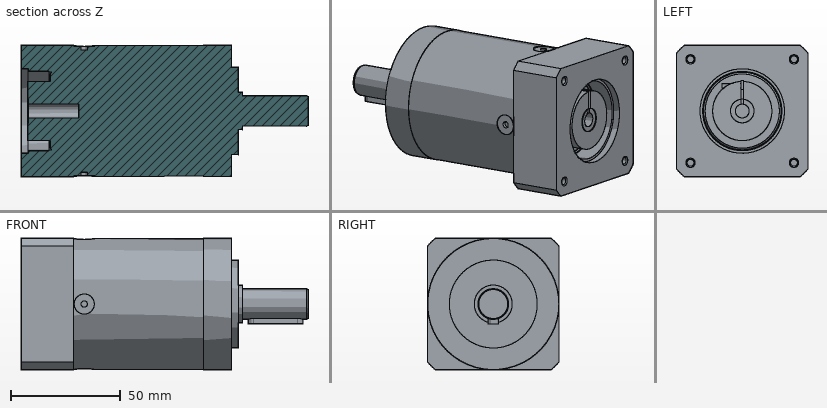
import cadquery as cq

TOTAL_LENGTH = 131.0
FLANGE_END = 24.0
BODY_END = 83.0
CAP_END = 96.0
PILOT_END = 99.0
COLLAR_END = 101.0

FLANGE_SIDE = 60.0
FLANGE_CORNER_RADIUS = 40.0
BODY_RADIUS = 29.9
CAP_RADIUS = FLANGE_SIDE / 2
PILOT_RADIUS = 20.0
COLLAR_RADIUS = 8.6
SHAFT_DIAMETER = 14.0
SHAFT_RADIUS = SHAFT_DIAMETER / 2
SHAFT_CHAMFER_LENGTH = 0.9
SHAFT_CHAMFER_HEIGHT = 0.4

KEY_START = 103.5
KEY_LENGTH = 25.0
KEY_WIDTH = 5.0
KEY_REACH = 9.0

MOUNT_HOLE_OFFSET = 23.6
MOUNT_HOLE_RADIUS = 1.6
MOUNT_MOUTH_RADIUS = 2.1
MOUNT_HOLE_DEPTH = 19.6

REGISTER_RADIUS = 19.3
REGISTER_DEPTH = 3.3
RECESS_RADIUS = 18.1
RECESS_DEPTH = 12.7
RING_RADIUS = 17.7
RING_CHAMFER = 0.8
RING_FACE_DEPTH = 13.2
HUB_RADIUS = 13.5
HUB_FACE_DEPTH = 3.0
HUB_DIMPLE_RADIUS = 5.4
HUB_DIMPLE_DEPTH = 0.4
MOTOR_BORE_RADIUS = 3.1
MOTOR_BORE_DEPTH = 26.2

SLOT_WIDTH = 1.3
SLOT_TOP = 14.0
SLOT_STEP_TOP = 9.8
SLOT_FIRST_DEPTH = 15.7
SLOT_STEP = 2.6

SCREW_GROOVE_RADIUS = 1.0
SCREW_GROOVE_HEIGHT = 11.5
SCREW_GROOVE_LENGTH = 9.3

PLUG_X = 28.8
PLUG_RADIUS = 4.6
PLUG_DEPTH = 0.4
PLUG_HOLE_RADIUS = 1.5
PLUG_HOLE_DEPTH = 2.0


def rod(start, end, radius):
    """Cylinder about the X axis between two X positions."""
    return cq.Workplane("YZ", origin=(start, 0, 0)).circle(radius).extrude(end - start)


def make_flange():
    square = cq.Workplane("YZ").rect(FLANGE_SIDE, FLANGE_SIDE).extrude(FLANGE_END)
    return square.intersect(rod(0, FLANGE_END, FLANGE_CORNER_RADIUS))


def make_turned_sections():
    """Body, cap, pilot, collar and chamfered shaft as one turned profile."""
    profile = (
        cq.Workplane("XY")
        .moveTo(FLANGE_END, 0)
        .lineTo(FLANGE_END, BODY_RADIUS)
        .lineTo(BODY_END, BODY_RADIUS)
        .lineTo(BODY_END, CAP_RADIUS)
        .lineTo(CAP_END, CAP_RADIUS)
        .lineTo(CAP_END, PILOT_RADIUS)
        .lineTo(PILOT_END, PILOT_RADIUS)
        .lineTo(PILOT_END, COLLAR_RADIUS)
        .lineTo(COLLAR_END, COLLAR_RADIUS)
        .lineTo(COLLAR_END, SHAFT_RADIUS)
        .lineTo(TOTAL_LENGTH - SHAFT_CHAMFER_LENGTH, SHAFT_RADIUS)
        .lineTo(TOTAL_LENGTH, SHAFT_RADIUS - SHAFT_CHAMFER_HEIGHT)
        .lineTo(TOTAL_LENGTH, 0)
        .close()
    )
    return profile.revolve(360, (0, 0, 0), (1, 0, 0))


def make_key():
    key_middle = KEY_START + KEY_LENGTH / 2
    return (
        cq.Workplane("XY", origin=(key_middle, 0, -KEY_REACH))
        .slot2D(KEY_LENGTH, KEY_WIDTH)
        .extrude(KEY_REACH)
    )


def make_motor_recess():
    """Space turned out around the hub, down to the chamfered clamp ring."""
    profile = (
        cq.Workplane("XY")
        .moveTo(0, 0)
        .lineTo(0, REGISTER_RADIUS)
        .lineTo(REGISTER_DEPTH, REGISTER_RADIUS)
        .lineTo(REGISTER_DEPTH, RECESS_RADIUS)
        .lineTo(RECESS_DEPTH, RECESS_RADIUS)
        .lineTo(RECESS_DEPTH, RING_RADIUS)
        .lineTo(RING_FACE_DEPTH + RING_CHAMFER, RING_RADIUS)
        .lineTo(RING_FACE_DEPTH, RING_RADIUS - RING_CHAMFER)
        .lineTo(RING_FACE_DEPTH, HUB_RADIUS)
        .lineTo(HUB_FACE_DEPTH, HUB_RADIUS)
        .lineTo(HUB_FACE_DEPTH, HUB_DIMPLE_RADIUS)
        .lineTo(HUB_FACE_DEPTH + HUB_DIMPLE_DEPTH, HUB_DIMPLE_RADIUS)
        .lineTo(HUB_FACE_DEPTH + HUB_DIMPLE_DEPTH, MOTOR_BORE_RADIUS)
        .lineTo(MOTOR_BORE_DEPTH, MOTOR_BORE_RADIUS)
        .lineTo(MOTOR_BORE_DEPTH, 0)
        .close()
    )
    return profile.revolve(360, (0, 0, 0), (1, 0, 0))


def make_clamp_slot():
    slot = cq.Workplane("XY")
    for step, top in enumerate((SLOT_TOP, SLOT_STEP_TOP, HUB_DIMPLE_RADIUS)):
        depth = SLOT_FIRST_DEPTH + step * SLOT_STEP
        cut = cq.Workplane("XY").box(depth, SLOT_WIDTH, top, centered=(False, True, False))
        slot = slot.union(cut)
    return slot


def make_screw_groove():
    axis_start = (RING_FACE_DEPTH, SCREW_GROOVE_LENGTH, SCREW_GROOVE_HEIGHT)
    return cq.Workplane("XZ", origin=axis_start).circle(SCREW_GROOVE_RADIUS).extrude(SCREW_GROOVE_LENGTH)


def make_mount_hole(y, z):
    """Blind hole with a 45 degree chamfered mouth on the motor face."""
    mouth_depth = MOUNT_MOUTH_RADIUS - MOUNT_HOLE_RADIUS
    profile = (
        cq.Workplane("XY")
        .moveTo(0, 0)
        .lineTo(0, MOUNT_MOUTH_RADIUS)
        .lineTo(mouth_depth, MOUNT_HOLE_RADIUS)
        .lineTo(MOUNT_HOLE_DEPTH, MOUNT_HOLE_RADIUS)
        .lineTo(MOUNT_HOLE_DEPTH, 0)
        .close()
    )
    return profile.revolve(360, (0, 0, 0), (1, 0, 0)).translate((0, y, z))


def make_plug_recess(angle):
    """Flat-bottomed round recess with a small central hole, turned about X."""
    crown = cq.Workplane("XY", origin=(PLUG_X, 0, BODY_RADIUS))
    recess = crown.circle(PLUG_RADIUS).extrude(-PLUG_DEPTH)
    hole = crown.circle(PLUG_HOLE_RADIUS).extrude(-PLUG_HOLE_DEPTH)
    return recess.union(hole).rotate((0, 0, 0), (1, 0, 0), angle)


result = make_flange().union(make_turned_sections()).union(make_key())
result = result.cut(make_motor_recess()).cut(make_clamp_slot()).cut(make_screw_groove())

for y_side in (-1, 1):
    for z_side in (-1, 1):
        result = result.cut(make_mount_hole(y_side * MOUNT_HOLE_OFFSET, z_side * MOUNT_HOLE_OFFSET))

for plug_angle in (0, 90, 180, 270):
    result = result.cut(make_plug_recess(plug_angle))